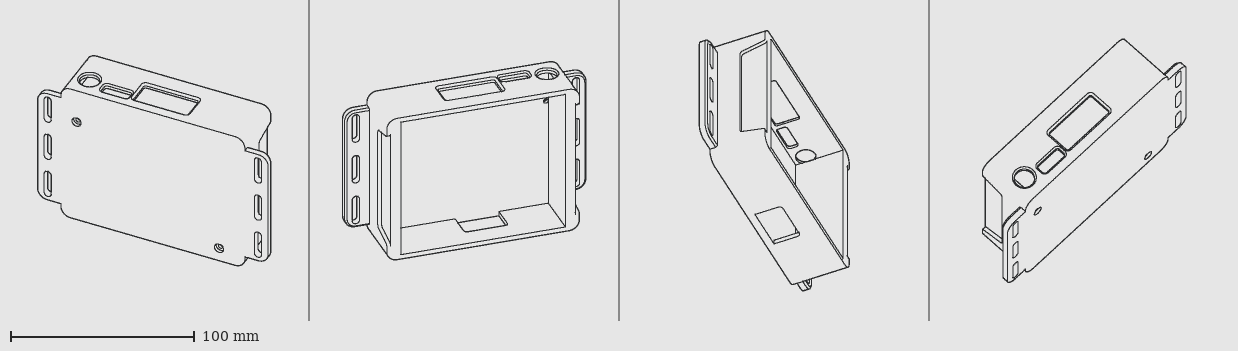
import cadquery as cq

overall_length = 139.2
body_length = 111.0
body_depth = 33.0
body_height = 88.0
corner_radius = 6.0
front_y = -body_depth / 2
back_y = body_depth / 2

end_wall = 8.1
long_wall = 2.8

flange_height = 72.5
flange_thickness = 4.6
flange_chamfer = 1.1
floor_y = front_y + flange_thickness

slot_width = 4.2
slot_length = 17.0
slot_pitch = 25.3
slot_x = 63.5

screw_positions = [(-46.0, 22.5), (40.0, -35.5)]
screw_diameter = 2.6
screw_head_diameter = 5.4
screw_head_depth = 2.1

recess_depth = 2.2
recess_length = 15.0
recess_floor_height = 60.4
recess_mouth_height = 67.1
recess_corner_radius = 2.0
recess_mouth_radius = 1.4

jack_x = -44.0
jack_offset = 12.2
jack_diameter = 11.1
jack_chamfer = 1.0
small_port_x = -26.3
small_port_offset = 9.2
small_port_length = 16.4
small_port_depth = 6.4
small_port_radius = 1.7
small_port_chamfer = 1.0
large_port_x = 1.0
large_port_offset = 14.5
large_port_length = 32.8
large_port_depth = 14.7
large_port_radius = 1.3
large_port_chamfer = 1.3
flare_angle = 45

bottom_opening_left = -18.9
bottom_opening_right = 6.3
bottom_opening_top_offset = 20.5
bottom_opening_radius = 2.0


def rounded_plate(length, height, depth):
    """Plate with rounded corners, from the front face towards +Y."""
    return (
        cq.Workplane("XZ", origin=(0, front_y, 0))
        .rect(length, height)
        .extrude(-depth)
        .edges("|Y")
        .fillet(corner_radius)
    )


def make_shell():
    """Box with a rectangular cavity, joined to the flange at the front."""
    body = rounded_plate(body_length, body_height, body_depth)
    flange = rounded_plate(overall_length, flange_height, flange_thickness)
    flange = flange.faces(">Y").chamfer(flange_chamfer)
    cavity = (
        cq.Workplane("XZ", origin=(0, floor_y, 0))
        .rect(body_length - 2 * end_wall, body_height - 2 * long_wall)
        .extrude(-(body_depth - flange_thickness))
    )
    return body.union(flange).cut(cavity)


def make_strap_slots():
    """Three upright slots in each ear."""
    positions = [(side * slot_x, row * slot_pitch) for side in (-1, 1) for row in (-1, 0, 1)]
    return (
        cq.Workplane("XZ", origin=(0, front_y, 0))
        .pushPoints(positions)
        .slot2D(slot_length, slot_width, 90)
        .extrude(-flange_thickness)
    )


def make_screw_holes():
    """Through holes with a wider bore from the front face."""
    front = cq.Workplane("XZ", origin=(0, front_y, 0)).pushPoints(screw_positions)
    holes = front.circle(screw_diameter / 2).extrude(-flange_thickness)
    heads = front.circle(screw_head_diameter / 2).extrude(-screw_head_depth)
    return holes.union(heads)


def make_finger_recess(side):
    """Tapered recess in one end wall, with rounded lips at the back; side is -1 or 1 along X."""
    inner_x = side * (body_length / 2 - recess_depth)
    recess_floor_y = back_y - recess_length
    recess = (
        cq.Workplane("YZ", origin=(inner_x, 0, 0))
        .moveTo(recess_floor_y, -recess_floor_height / 2)
        .lineTo(back_y, -recess_mouth_height / 2)
        .lineTo(back_y, -body_height / 2)
        .lineTo(back_y + recess_length, -body_height / 2)
        .lineTo(back_y + recess_length, body_height / 2)
        .lineTo(back_y, body_height / 2)
        .lineTo(back_y, recess_mouth_height / 2)
        .lineTo(recess_floor_y, recess_floor_height / 2)
        .close()
        .extrude(side * recess_depth)
    )
    recess = recess.edges("|X and <Y").fillet(recess_corner_radius)
    lips = [(inner_x, back_y, end * recess_mouth_height / 2) for end in (-1, 1)]
    for lip in lips:
        recess = recess.edges("|X").edges(cq.NearestToPointSelector(lip)).fillet(recess_mouth_radius)
    return recess


def make_port(x, offset, length, depth, radius, chamfer):
    """Rounded rectangular opening through the top wall, widening at the outer face."""
    inner_z = body_height / 2 - long_wall
    straight = long_wall - chamfer
    outline = cq.Sketch().rect(length, depth).vertices().fillet(radius)
    base = cq.Workplane("XY", origin=(x, front_y + offset, inner_z))
    opening = base.placeSketch(outline).extrude(straight)
    mouth = opening.faces(">Z").workplane().placeSketch(outline).extrude(
        chamfer, taper=-flare_angle, combine=False
    )
    return opening.union(mouth)


def make_jack_hole():
    """Round opening through the top wall with a conical mouth."""
    radius = jack_diameter / 2
    top_z = body_height / 2
    profile = [
        (0, top_z - long_wall),
        (radius, top_z - long_wall),
        (radius, top_z - jack_chamfer),
        (radius + jack_chamfer, top_z),
        (0, top_z),
    ]
    cutter = cq.Workplane("XZ").polyline(profile).close().revolve(360, (0, 0), (0, 1))
    return cutter.translate((jack_x, front_y + jack_offset, 0))


def make_bottom_opening():
    """Opening through the bottom wall with two rounded corners at its back edge."""
    length = bottom_opening_right - bottom_opening_left
    depth = bottom_opening_top_offset - flange_thickness
    return (
        cq.Workplane("XY", origin=(bottom_opening_left, floor_y, -body_height / 2))
        .rect(length, depth, centered=False)
        .extrude(long_wall)
        .edges("|Z and >Y")
        .fillet(bottom_opening_radius)
    )


small_port = make_port(
    small_port_x,
    small_port_offset,
    small_port_length,
    small_port_depth,
    small_port_radius,
    small_port_chamfer,
)
large_port = make_port(
    large_port_x,
    large_port_offset,
    large_port_length,
    large_port_depth,
    large_port_radius,
    large_port_chamfer,
)

result = make_shell()
result = result.cut(make_strap_slots())
result = result.cut(make_screw_holes())
for side in (-1, 1):
    result = result.cut(make_finger_recess(side))
result = result.cut(small_port)
result = result.cut(large_port)
result = result.cut(make_jack_hole())
result = result.cut(make_bottom_opening())